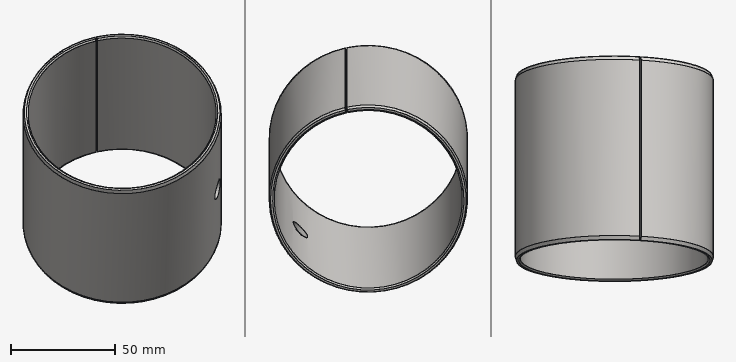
import cadquery as cq
import math

outer_radius = 47.5
wall = 2.5
length = 90.0
inner_radius = outer_radius - wall
half_length = length / 2

outer_bevel_length = 1.8
outer_bevel_angle = 20.0
outer_bevel_depth = outer_bevel_length * math.tan(math.radians(outer_bevel_angle))
inner_bevel = 0.8

full_turn = 360.0
wrap_start_angle = 180.0
seam_angle = 1.0
wrap_angle = full_turn - seam_angle

oil_hole_diameter = 10.0
hole_to_seam_angle = full_turn / 3
oil_hole_angle = wrap_start_angle - seam_angle - hole_to_seam_angle


def make_split_sleeve():
    """Revolve the bevelled wall section about Z, leaving the seam open on the -X side."""
    end_outer_radius = outer_radius - outer_bevel_depth
    end_inner_radius = inner_radius + inner_bevel
    outer_bevel_z = half_length - outer_bevel_length
    inner_bevel_z = half_length - inner_bevel
    section = (
        cq.Workplane("XZ")
        .moveTo(inner_radius, -inner_bevel_z)
        .lineTo(end_inner_radius, -half_length)
        .lineTo(end_outer_radius, -half_length)
        .lineTo(outer_radius, -outer_bevel_z)
        .lineTo(outer_radius, outer_bevel_z)
        .lineTo(end_outer_radius, half_length)
        .lineTo(end_inner_radius, half_length)
        .lineTo(inner_radius, inner_bevel_z)
        .close()
    )
    sleeve = section.revolve(wrap_angle, (0, 0, 0), (0, 1, 0))
    return sleeve.rotate((0, 0, 0), (0, 0, 1), wrap_start_angle)


def make_oil_hole_cutter():
    """Radial pin from the axis out through one wall."""
    return (
        cq.Workplane("YZ")
        .circle(oil_hole_diameter / 2)
        .extrude(outer_radius)
        .rotate((0, 0, 0), (0, 0, 1), oil_hole_angle)
    )


result = make_split_sleeve().cut(make_oil_hole_cutter())